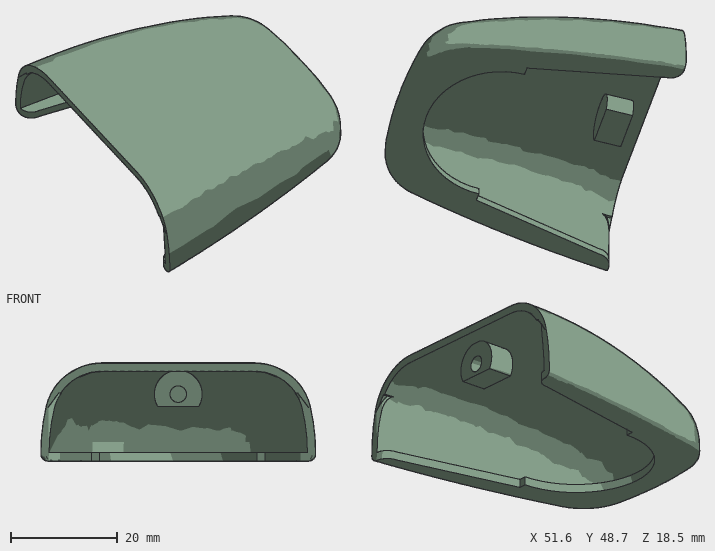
import cadquery as cq
import math

HALF_WIDTH = 25.8
LENGTH = 48.7
HEIGHT = 18.5
WALL = 1.55

SIDE_BOW_RADIUS = 275.85
SIDE_BOW_CENTRE_Y = -26.3
BACK_BOW_RADIUS = 69.6
SIDE_CROWN_RADIUS = 38.65
BACK_CROWN_RADIUS = 33.5
WALL_WIDEST_Z = 1.55
ROOF_RADIUS = 108.3
ROOF_CREST_Y = 6.2

EDGE_RADIUS = 10.3
BOTTOM_EDGE_RADIUS = 1.4

FLANGE_HEIGHT = 1.65
MOUTH_HALF_WIDTH = 24.45
FLANGE_END_RADIUS = 2.7
STRAIGHT_END_HALF_WIDTH = 16.3
STRAIGHT_END_Y = 28.35
OPENING_BACK_RADIUS = 14.75
MOUTH_SHOULDER_Z = 10.05
MOUTH_TOP_HALF_WIDTH = 22.4
MOUTH_TOP_Z = 12.85

BOSS_RADIUS = 4.5
BOSS_CENTRE_Z = 12.6
BOSS_FLAT_Z = 10.25
BOSS_FRONT_Y = 3.85
BOSS_DEPTH = 5.15
BOSS_HOLE_RADIUS = 1.55
BOSS_HOLE_DEPTH = 3.6

FRONT_STOCK = 10.3
TOP_STOCK = 5.15


def slab(start_y, depth, start_z, height):
    """Block wider than the part, for trimming in Y and Z."""
    return (
        cq.Workplane("XY")
        .box(4 * HALF_WIDTH, depth, height, centered=(True, False, False))
        .translate((0, start_y, start_z))
    )


def bowed_wall(centre_x, centre_y, plan_radius, outer_crown_radius, inset):
    """Disc whose rim is a wall bowed in plan and crowned in upright section."""
    top = HEIGHT + TOP_STOCK
    crown_radius = outer_crown_radius - inset
    crown_centre = plan_radius - outer_crown_radius

    def rim_point(z):
        return crown_centre + math.sqrt(crown_radius**2 - (z - WALL_WIDEST_Z) ** 2), z

    return (
        cq.Workplane("XZ")
        .lineTo(*rim_point(0))
        .threePointArc(rim_point(top / 2), rim_point(top))
        .lineTo(0, top)
        .close()
        .revolve(360, (0, 0), (0, 1))
        .translate((centre_x, centre_y, 0))
    )


def dome(inset):
    """Rounded body with its curved faces moved inwards by inset; it runs on in front of Y = 0."""
    side_centre_x = HALF_WIDTH - math.sqrt(SIDE_BOW_RADIUS**2 - SIDE_BOW_CENTRE_Y**2)
    body = (
        cq.Workplane("YZ")
        .center(ROOF_CREST_Y, HEIGHT - ROOF_RADIUS)
        .circle(ROOF_RADIUS - inset)
        .extrude(2 * HALF_WIDTH, both=True)
    )
    body = body.intersect(slab(-FRONT_STOCK, 2 * LENGTH, 0, 2 * HEIGHT))
    for centre_x in (side_centre_x, -side_centre_x):
        side = bowed_wall(centre_x, SIDE_BOW_CENTRE_Y, SIDE_BOW_RADIUS, SIDE_CROWN_RADIUS, inset)
        body = body.intersect(side)
    back = bowed_wall(0, LENGTH - BACK_BOW_RADIUS, BACK_BOW_RADIUS, BACK_CROWN_RADIUS, inset)
    body = body.intersect(back)

    upper_edges = cq.selectors.BoxSelector(
        (-2 * HALF_WIDTH, -FRONT_STOCK / 2, FLANGE_HEIGHT), (2 * HALF_WIDTH, 2 * LENGTH, 2 * HEIGHT)
    )
    return body.edges(upper_edges).fillet(EDGE_RADIUS - inset)


def flange_opening(height):
    """Upright prism of the opening: wide mouth, tapering straight sides and a round back."""
    side_x = MOUTH_HALF_WIDTH - FLANGE_END_RADIUS
    arc_offset = FLANGE_END_RADIUS * (1 - math.sqrt(0.5))
    return (
        cq.Workplane("XY")
        .moveTo(-MOUTH_HALF_WIDTH, -FRONT_STOCK)
        .lineTo(-MOUTH_HALF_WIDTH, 0)
        .threePointArc((-side_x - arc_offset, arc_offset), (-side_x, FLANGE_END_RADIUS))
        .lineTo(-STRAIGHT_END_HALF_WIDTH, STRAIGHT_END_Y)
        .lineTo(-OPENING_BACK_RADIUS, STRAIGHT_END_Y)
        .threePointArc((0, STRAIGHT_END_Y + OPENING_BACK_RADIUS), (OPENING_BACK_RADIUS, STRAIGHT_END_Y))
        .lineTo(STRAIGHT_END_HALF_WIDTH, STRAIGHT_END_Y)
        .lineTo(side_x, FLANGE_END_RADIUS)
        .threePointArc((side_x + arc_offset, arc_offset), (MOUTH_HALF_WIDTH, 0))
        .lineTo(MOUTH_HALF_WIDTH, -FRONT_STOCK)
        .close()
        .extrude(height)
    )


def mouth_relief():
    """The rounded flange ends carried up the walls, narrowing towards the roof."""
    section = (
        cq.Workplane("XZ")
        .moveTo(-MOUTH_HALF_WIDTH, 0)
        .lineTo(-MOUTH_HALF_WIDTH, MOUTH_SHOULDER_Z)
        .lineTo(-MOUTH_TOP_HALF_WIDTH, MOUTH_TOP_Z)
        .lineTo(MOUTH_TOP_HALF_WIDTH, MOUTH_TOP_Z)
        .lineTo(MOUTH_HALF_WIDTH, MOUTH_SHOULDER_Z)
        .lineTo(MOUTH_HALF_WIDTH, 0)
        .close()
        .extrude(-FLANGE_END_RADIUS)
    )
    return section.intersect(flange_opening(HEIGHT))


def boss():
    """Round boss against the roof with a flat underside and a blind hole in its front."""
    front = cq.Workplane("XZ", origin=(0, BOSS_FRONT_Y, BOSS_CENTRE_Z))
    body = front.circle(BOSS_RADIUS).extrude(-BOSS_DEPTH)
    body = body.intersect(slab(BOSS_FRONT_Y, BOSS_DEPTH, BOSS_FLAT_Z, HEIGHT))
    return body.cut(front.circle(BOSS_HOLE_RADIUS).extrude(-BOSS_HOLE_DEPTH))


outer = dome(0).faces("<Z").edges("not(<Y)").fillet(BOTTOM_EDGE_RADIUS)
cavity = dome(WALL).intersect(slab(-FRONT_STOCK, 2 * LENGTH, FLANGE_HEIGHT, HEIGHT))

cover = outer.cut(cavity).cut(flange_opening(FLANGE_HEIGHT)).cut(mouth_relief())
cover = cover.intersect(slab(0, 2 * LENGTH, 0, HEIGHT))
result = cover.union(boss())